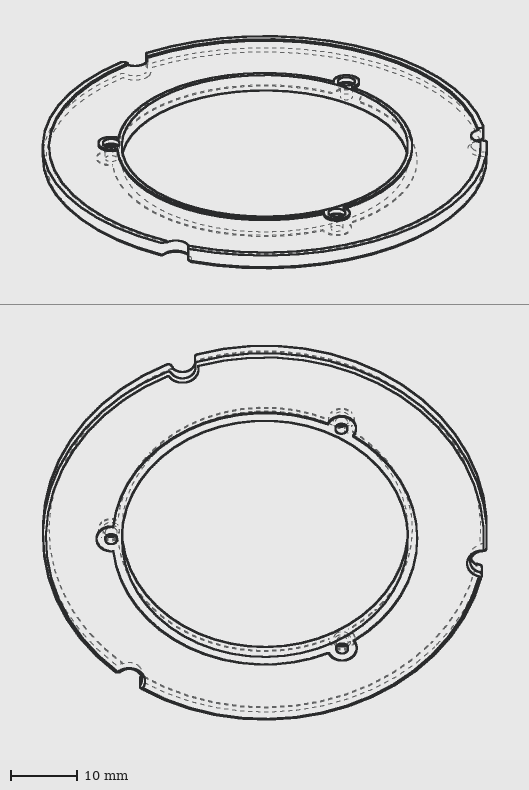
import cadquery as cq
import math

outer_radius = 33.4
bore_radius = 21.5
total_height = 2.7
outline_chamfer = 0.5

recess_depth = 0.3
outer_rim_width = 0.95
inner_rim_width = 0.7

collar_height = 0.2
collar_radius = 22.9
collar_lobe_radius = 2.2

screw_count = 3
screw_circle_radius = 23.1
screw_start_angle = 12.8
screw_diameter = 1.8
counterbore_diameter = 2.55
counterbore_depth = 0.8
lobe_radius = 1.95

notch_count = 3
notch_circle_radius = 33.1
notch_start_angle = 81.0
notch_radius = 1.95
notch_corner_radius = 0.55


def polar_points(radius, start_angle, count):
    """Equally spaced points on a circle about the ring axis."""
    angles = [math.radians(start_angle + 360 / count * i) for i in range(count)]
    return [(radius * math.cos(a), radius * math.sin(a)) for a in angles]


def disc(radius, bottom, height):
    return cq.Workplane("XY").workplane(offset=bottom).circle(radius).extrude(height)


def lobed_disc(radius, lobe, bottom, height):
    """A disc with a round lobe at every screw position."""
    lobes = cq.Workplane("XY").workplane(offset=bottom).pushPoints(screw_points)
    return disc(radius, bottom, height).union(lobes.circle(lobe).extrude(height))


screw_points = polar_points(screw_circle_radius, screw_start_angle, screw_count)
notch_points = polar_points(notch_circle_radius, notch_start_angle, notch_count)

plate = disc(outer_radius, collar_height, total_height - collar_height)
plate = plate.rotate((0, 0, 0), (0, 0, 1), notch_start_angle)
notches = cq.Workplane("XY").pushPoints(notch_points).circle(notch_radius).extrude(total_height)

body = plate.cut(notches).edges("|Z").fillet(notch_corner_radius)
body = body.faces("<Z").edges().chamfer(outline_chamfer)

recess_floor = total_height - recess_depth
recess = disc(outer_radius - outer_rim_width, recess_floor, recess_depth).cut(
    lobed_disc(bore_radius + inner_rim_width, lobe_radius, recess_floor, recess_depth)
)
body = body.cut(recess)

body = body.union(lobed_disc(collar_radius, collar_lobe_radius, 0, collar_height))
body = body.cut(disc(bore_radius, 0, total_height))

result = (
    body.faces(">Z")
    .workplane(origin=(0, 0, total_height))
    .pushPoints(screw_points)
    .cboreHole(screw_diameter, counterbore_diameter, counterbore_depth)
)